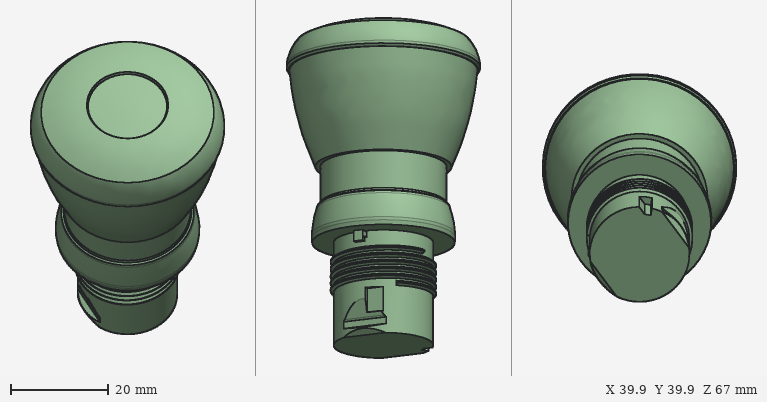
import cadquery as cq
import math

total_height = 66.95

cap_diameter = 39.85
cap_radius = cap_diameter / 2
cap_band_bottom = 59.0
cap_band_top = 59.65
cap_lip_radius = 19.55
skirt_top_radius = 19.35
skirt_top_z = 58.45
skirt_bottom_radius = 14.0
skirt_bottom_z = 37.95
skirt_mid = (17.4, 47.55)
shoulder_radius = 17.75
shoulder_z = 64.4
shoulder_mid = (19.1, 62.45)
dome_mid = (13.4, 66.1)

recess_rim_radius = 8.4
recess_floor_radius = 8.1
recess_edge_depth = 0.5
recess_crown_depth = 0.1

neck_radius = 13.0
neck_bottom_z = 30.05
collar_radius = 14.8
collar_lead_in = [(13.2, 29.6), (13.65, 29.3)]
collar_shoulder = (13.8, 28.85)
collar_mid = (14.45, 26.25)
collar_band_top = 23.5
collar_band_bottom = 22.8
collar_bottom_z = 21.8
collar_foot_radius = 14.65

barrel_radius = 10.25
thread_depth = 0.635
thread_crest_radius = barrel_radius + thread_depth
thread_root_embed = 0.15
thread_length = 7.6
thread_turns = 5.1
thread_pitch = thread_length / thread_turns
thread_start_z = 10.65
thread_start_angle = 130.0
thread_root_width = 1.2
thread_crest_width = 0.2

snap_ramp_top_z = 7.5
snap_ramp_foot = (9.25, 3.8)
snap_flat_offset = 9.05
snap_flat_top_z = 3.35
snap_flat_bottom_z = 1.95
snap_lip_top_z = 1.4
foot_chamfer = 1.15
cut_margin = 1.35

slot_floor_radius = 8.7
slot_height = 7.0
slot_wall_y = -5.9
slot_edge_x = -6.55

pocket_floor_y = 9.3
pocket_inner_x = -0.7
pocket_bottom_z = 4.7
pocket_top_z = 9.8

hook_tip_y = 12.25
hook_width = 2.0
hook_leg_thickness = 1.0
hook_top_z = 21.55
hook_arm_bottom_z = 20.4
hook_leg_bottom_z = 19.35


def make_body():
    """Turned body: barrel, collar, neck and push cap."""
    profile = (
        cq.Workplane("XZ")
        .moveTo(0, 0)
        .lineTo(barrel_radius, 0)
        .lineTo(barrel_radius, collar_bottom_z)
        .lineTo(collar_foot_radius, collar_bottom_z)
        .lineTo(collar_radius, collar_band_bottom)
        .lineTo(collar_radius, collar_band_top)
        .threePointArc(collar_mid, collar_shoulder)
    )
    for point in reversed(collar_lead_in):
        profile = profile.lineTo(*point)
    profile = (
        profile.lineTo(neck_radius, neck_bottom_z)
        .lineTo(neck_radius, skirt_bottom_z)
        .lineTo(skirt_bottom_radius, skirt_bottom_z)
        .threePointArc(skirt_mid, (skirt_top_radius, skirt_top_z))
        .lineTo(cap_lip_radius, skirt_top_z)
        .lineTo(cap_radius, cap_band_bottom)
        .lineTo(cap_radius, cap_band_top)
        .threePointArc(shoulder_mid, (shoulder_radius, shoulder_z))
        .threePointArc(dome_mid, (recess_rim_radius, total_height))
        .lineTo(recess_floor_radius, total_height - recess_edge_depth)
    )
    crown_rise = recess_edge_depth - recess_crown_depth
    floor_sphere_radius = (recess_floor_radius**2 + crown_rise**2) / (2 * crown_rise)
    crown_z = total_height - recess_crown_depth
    mid_radius = recess_floor_radius / 2
    mid_drop = floor_sphere_radius - math.sqrt(floor_sphere_radius**2 - mid_radius**2)
    profile = profile.threePointArc((mid_radius, crown_z - mid_drop), (0, crown_z)).close()
    return profile.revolve(360, (0, 0, 0), (0, 1, 0))


def make_thread():
    """Right-handed external thread ridge, sunk slightly into the barrel."""
    root_radius = barrel_radius - thread_root_embed
    helix = cq.Wire.makeHelix(thread_pitch, thread_length, root_radius)
    ridge = (
        cq.Workplane("XZ")
        .polyline([
            (root_radius, -thread_root_width / 2),
            (thread_crest_radius, -thread_crest_width / 2),
            (thread_crest_radius, thread_crest_width / 2),
            (root_radius, thread_root_width / 2),
        ])
        .close()
        .sweep(cq.Workplane(obj=helix), isFrenet=True)
    )
    return ridge.rotate((0, 0, 0), (0, 0, 1), thread_start_angle).translate((0, 0, thread_start_z))


def make_snap_cutter():
    """Cutter for the +Y snap recess and foot chamfer, running straight along X."""
    outer_y = barrel_radius + cut_margin
    length = 2 * outer_y
    recess = (
        cq.Workplane("YZ")
        .polyline([
            (outer_y, snap_ramp_top_z),
            (barrel_radius, snap_ramp_top_z),
            snap_ramp_foot,
            (snap_flat_offset, snap_flat_top_z),
            (snap_flat_offset, snap_flat_bottom_z),
            (barrel_radius, snap_lip_top_z),
            (outer_y, snap_lip_top_z),
        ])
        .close()
        .extrude(length / 2, both=True)
    )
    chamfer = (
        cq.Workplane("YZ")
        .polyline([
            (barrel_radius - foot_chamfer, 0),
            (barrel_radius, foot_chamfer),
            (outer_y, foot_chamfer),
            (outer_y, 0),
        ])
        .close()
        .extrude(length / 2, both=True)
    )
    return recess.union(chamfer)


def make_slot_cutter():
    """Slot with a wall facing -Y, a diagonal wall and a floor concentric with the barrel."""
    slot_edge_y = -math.sqrt(barrel_radius**2 - slot_edge_x**2)
    inner_x = slot_edge_x + (slot_wall_y - slot_edge_y)
    wedge = (
        cq.Workplane("XY")
        .polyline([
            (inner_x, slot_wall_y),
            (-barrel_radius - cut_margin, slot_wall_y),
            (slot_edge_x - cut_margin, slot_edge_y - cut_margin),
        ])
        .close()
        .extrude(slot_height)
    )
    core = cq.Workplane("XY").circle(slot_floor_radius).extrude(slot_height)
    return wedge.cut(core)


def make_pocket_cutter():
    """Flat-floored key pocket, open on the -X side."""
    pocket_size = (
        barrel_radius + pocket_inner_x,
        barrel_radius + cut_margin - pocket_floor_y,
        pocket_top_z - pocket_bottom_z,
    )
    corner = (-barrel_radius, pocket_floor_y, pocket_bottom_z)
    return cq.Workplane("XY").box(*pocket_size, centered=False).translate(corner)


def make_hook():
    """L-shaped hook, its arm rooted in the barrel and its leg pointing down."""
    leg_inner_y = hook_tip_y - hook_leg_thickness
    root_y = barrel_radius - cut_margin
    return (
        cq.Workplane("YZ")
        .polyline([
            (root_y, hook_top_z),
            (hook_tip_y, hook_top_z),
            (hook_tip_y, hook_leg_bottom_z),
            (leg_inner_y, hook_leg_bottom_z),
            (leg_inner_y, hook_arm_bottom_z),
            (root_y, hook_arm_bottom_z),
        ])
        .close()
        .extrude(hook_width / 2, both=True)
    )


body = make_body()
snap_cutter = make_snap_cutter()
for cutter in (snap_cutter, snap_cutter.mirror("XZ"), make_slot_cutter(), make_pocket_cutter()):
    body = body.cut(cutter)

result = body.union(make_hook()).union(make_thread())